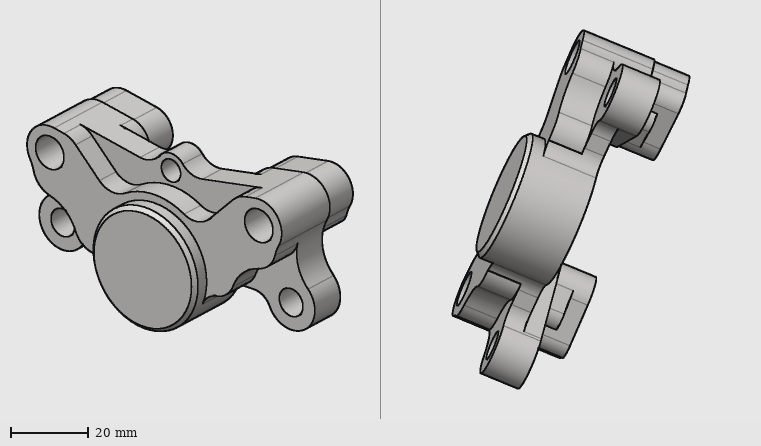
import cadquery as cq
import math


HUB_CENTER = (0, 0)
HUB_R = 17.5
HUB_FRONT_Y = -4.8
HUB_CHAMFER = 1.2

PLATE_FRONT_Y = 0
UPPER_RECESS_Y = 6.9
LUG_FRONT_Y = 9.4
PLATE_BACK_Y = 15.0
LEG_BACK_Y = 20.0
PAD_BACK_Y = 30.1

BOSS_CENTER = (-34.9, 21.4)
BOSS_R = 7.6
BOSS_HOLE_D = 6.4
BOSS_BORE_D = 9.5
LUG_R = 7.9
LUG_CENTER = (-(46 - LUG_R), -3.2)
LUG_HOLE_D = 7.9
TAB_R = 5.0
TAB_CENTER = (0, 24.2)
TAB_HOLE_D = 6.4

TOP_SLOPE = 10.0
TAB_BLEND_R = 6.9
SIDE_BLEND_R = 12.9
LOWER_BLEND_R = 5.6

RECESS_RIM_R = 19.9
RECESS_VALLEY_R = 7.1
RECESS_CORNER_R = 7.4
LUG_CLEARANCE_R = 12.7
LUG_FOOT_R = 7.1
CUT_MARGIN = 1.8

LEG_INNER_R = 7.1
LEG_INNER_X = -24.7
PAD_INSET = 0.5
PAD_CORNER_R = 4.3
PAD_CORNER_Z = 15.9
PAD_STEP_R = 4.3
PAD_STEP_CENTER = (-29.45, 15.1)
PAD_STEP_BACK_Y = 25.1


def polar(center, radius, degrees):
    angle = math.radians(degrees)
    return (center[0] + radius * math.cos(angle), center[1] + radius * math.sin(angle))


def toward(start, target, distance):
    """Point at a distance from start on the ray to target."""
    ratio = distance / math.dist(start, target)
    return (start[0] + ratio * (target[0] - start[0]), start[1] + ratio * (target[1] - start[1]))


def circle_meet(c1, r1, c2, r2):
    """Intersection of two circles lying left of the direction from c1 to c2."""
    gap = math.dist(c1, c2)
    along = (gap**2 + r1**2 - r2**2) / (2 * gap)
    across = math.sqrt(r1**2 - along**2)
    ux = (c2[0] - c1[0]) / gap
    uz = (c2[1] - c1[1]) / gap
    return (c1[0] + along * ux - across * uz, c1[1] + along * uz + across * ux)


def beside(center, reach, level):
    """Point at height level, right of center and at distance reach from it."""
    return (center[0] + math.sqrt(reach**2 - (level - center[1]) ** 2), level)


def arc_mid(start, end, center):
    """Middle of the shorter arc from start to end about center."""
    chord_mid = ((start[0] + end[0]) / 2, (start[1] + end[1]) / 2)
    return toward(center, chord_mid, math.dist(center, start))


def arc(sketch, start, end, center):
    return sketch.threePointArc(arc_mid(start, end, center), end)


def plane(y):
    return cq.Workplane("XZ", origin=(0, y, 0))


def prism(sketch, front, back):
    """Extrude a sketch drawn on the front level toward the back."""
    return sketch.close().extrude(front - back)


def cylinder(center, radius, front, back):
    return plane(front).center(*center).circle(radius).extrude(front - back)


def both_sides(solid):
    return solid.union(solid.mirror("YZ"))


def tangent_link(c1, r1, c2, r2, front, back):
    """Convex link: two circles joined by their outer tangents."""
    heading = math.degrees(math.atan2(c2[1] - c1[1], c2[0] - c1[0]))
    spread = math.degrees(math.acos((r1 - r2) / math.dist(c1, c2)))
    corners = [
        polar(c1, r1, heading + spread),
        polar(c2, r2, heading + spread),
        polar(c2, r2, heading - spread),
        polar(c1, r1, heading - spread),
    ]
    web = prism(plane(front).polyline(corners), front, back)
    return web.union(cylinder(c1, r1, front, back)).union(cylinder(c2, r2, front, back))


TOP_NORMAL = 90 - TOP_SLOPE
TOP_FALL = math.tan(math.radians(TOP_SLOPE))
top_start = polar(BOSS_CENTER, BOSS_R, TOP_NORMAL)


def top_edge_z(x, inset=0):
    """Height at x of the top edge, or of a parallel line inset below it."""
    drop = inset / math.cos(math.radians(TOP_SLOPE))
    return top_start[1] - (x - top_start[0]) * TOP_FALL - drop


def center_on_edge_offset(center, reach, edge_offset):
    """Point at distance reach left of center, edge_offset above the top edge."""
    base = (center[0], top_edge_z(center[0], -edge_offset))
    height = (base[1] - center[1]) * math.cos(math.radians(TOP_SLOPE))
    foot = polar(center, height, TOP_NORMAL)
    return polar(foot, math.sqrt(reach**2 - height**2), 180 - TOP_SLOPE)


side_blend = circle_meet(LUG_CENTER, LUG_R + SIDE_BLEND_R, BOSS_CENTER, BOSS_R + SIDE_BLEND_R)


def plate_half(front, back):
    tab_top = (0, TAB_CENTER[1] + TAB_R)
    tab_blend = center_on_edge_offset(TAB_CENTER, TAB_R + TAB_BLEND_R, TAB_BLEND_R)
    tab_end = toward(TAB_CENTER, tab_blend, TAB_R)
    top_end = polar(tab_blend, TAB_BLEND_R, TOP_NORMAL + 180)
    boss_end = toward(BOSS_CENTER, side_blend, BOSS_R)
    lug_start = toward(LUG_CENTER, side_blend, LUG_R)
    lug_bottom = (LUG_CENTER[0], LUG_CENTER[1] - LUG_R)

    blend_z = LUG_CENTER[1] - LOWER_BLEND_R
    lug_blend = beside(LUG_CENTER, LUG_R + LOWER_BLEND_R, blend_z)
    hub_blend = (-beside(HUB_CENTER, HUB_R + LOWER_BLEND_R, blend_z)[0], blend_z)
    lug_end = toward(LUG_CENTER, lug_blend, LUG_R)
    hub_start = toward(HUB_CENTER, hub_blend, HUB_R)
    lower_start = (lug_blend[0], LUG_CENTER[1])
    lower_end = (hub_blend[0], LUG_CENTER[1])

    sketch = plane(front).moveTo(*tab_top)
    sketch = arc(sketch, tab_top, tab_end, TAB_CENTER)
    sketch = arc(sketch, tab_end, top_end, tab_blend).lineTo(*top_start)
    sketch = arc(sketch, top_start, boss_end, BOSS_CENTER)
    sketch = arc(sketch, boss_end, lug_start, side_blend)
    sketch = arc(sketch, lug_start, lug_bottom, LUG_CENTER)
    sketch = arc(sketch, lug_bottom, lug_end, LUG_CENTER)
    sketch = arc(sketch, lug_end, lower_start, lug_blend).lineTo(*lower_end)
    sketch = arc(sketch, lower_end, hub_start, hub_blend)
    sketch = arc(sketch, hub_start, (0, -HUB_R), HUB_CENTER)
    return prism(sketch, front, back)


def upper_recess_half():
    """Recess above the hub; its 45-degree wall points at the hub axis."""
    valley_along = math.sqrt((RECESS_RIM_R + RECESS_VALLEY_R) ** 2 - RECESS_VALLEY_R**2)
    wall_end = polar(HUB_CENTER, valley_along, 135)
    valley = polar(wall_end, RECESS_VALLEY_R, 45)
    rim_end = toward(HUB_CENTER, valley, RECESS_RIM_R)

    edge_at_axis = top_edge_z(0, RECESS_CORNER_R)
    corner_x = -(edge_at_axis + RECESS_CORNER_R * math.sqrt(2)) / (1 - TOP_FALL)
    corner = (corner_x, top_edge_z(corner_x, RECESS_CORNER_R))
    wall_start = polar(corner, RECESS_CORNER_R, 45)
    corner_start = polar(corner, RECESS_CORNER_R, TOP_NORMAL)
    clear_z = TAB_CENTER[1] + TAB_R + CUT_MARGIN

    sketch = plane(PLATE_FRONT_Y).moveTo(0, RECESS_RIM_R)
    sketch = arc(sketch, (0, RECESS_RIM_R), rim_end, HUB_CENTER)
    sketch = arc(sketch, rim_end, wall_end, valley).lineTo(*wall_start)
    sketch = arc(sketch, wall_start, corner_start, corner)
    sketch = sketch.lineTo(corner_start[0], clear_z).lineTo(0, clear_z)
    return prism(sketch, PLATE_FRONT_Y, UPPER_RECESS_Y)


def lug_recess():
    """Clearance in front of the lug, concentric with its hole."""
    corner = circle_meet(
        side_blend, SIDE_BLEND_R + RECESS_CORNER_R, LUG_CENTER, LUG_CLEARANCE_R + RECESS_CORNER_R
    )
    side_start = toward(side_blend, corner, SIDE_BLEND_R)
    clearance_start = toward(LUG_CENTER, corner, LUG_CLEARANCE_R)
    foot = beside(LUG_CENTER, LUG_CLEARANCE_R + LUG_FOOT_R, LUG_CENTER[1] + LUG_FOOT_R)
    clearance_end = toward(LUG_CENTER, foot, LUG_CLEARANCE_R)
    foot_end = (foot[0], LUG_CENTER[1])
    clear_x = LUG_CENTER[0] - LUG_R - CUT_MARGIN
    clear_z = LUG_CENTER[1] - LUG_R - CUT_MARGIN

    sketch = plane(PLATE_FRONT_Y).moveTo(*side_start)
    sketch = arc(sketch, side_start, clearance_start, corner)
    sketch = arc(sketch, clearance_start, clearance_end, LUG_CENTER)
    sketch = arc(sketch, clearance_end, foot_end, foot)
    sketch = sketch.lineTo(foot_end[0], clear_z).lineTo(clear_x, clear_z).lineTo(clear_x, side_start[1])
    return prism(sketch, PLATE_FRONT_Y, LUG_FRONT_Y)


leg_inner = (LEG_INNER_X, top_edge_z(LEG_INNER_X, LEG_INNER_R))


def rear_leg():
    """Thickened arm behind the plate, from the boss down to the lug."""
    levels = (PLATE_BACK_Y, LEG_BACK_Y)
    leg = tangent_link(BOSS_CENTER, BOSS_R, leg_inner, LEG_INNER_R, *levels)
    leg = leg.union(tangent_link(leg_inner, LEG_INNER_R, LUG_CENTER, LUG_R, *levels))
    leg = leg.union(tangent_link(BOSS_CENTER, BOSS_R, LUG_CENTER, LUG_R, *levels))
    return leg.intersect(plate_half(*levels))


def rear_pad():
    """Mounting pad on the back of the leg, inset from the leg outline."""
    levels = (LEG_BACK_Y, PAD_BACK_Y)
    boss = (BOSS_CENTER, BOSS_R - PAD_INSET)
    inner = (leg_inner, LEG_INNER_R - PAD_INSET)
    blend_r = SIDE_BLEND_R + PAD_INSET
    corner_center = beside(side_blend, blend_r + PAD_CORNER_R, PAD_CORNER_Z)
    corner = (corner_center, PAD_CORNER_R)
    pad = tangent_link(*boss, *inner, *levels).union(tangent_link(*inner, *corner, *levels))

    web = [
        BOSS_CENTER,
        toward(side_blend, BOSS_CENTER, blend_r),
        toward(side_blend, corner_center, blend_r),
        corner_center,
    ]
    pad = pad.union(prism(plane(LEG_BACK_Y).polyline(web), *levels))
    pad = pad.cut(cylinder(side_blend, blend_r, *levels))

    step = tangent_link(*inner, PAD_STEP_CENTER, PAD_STEP_R, LEG_BACK_Y, PAD_STEP_BACK_Y)
    return pad.union(step)


body = both_sides(plate_half(PLATE_FRONT_Y, PLATE_BACK_Y))
body = body.cut(both_sides(upper_recess_half()))
for recess in (lug_recess(), lug_recess().mirror("YZ")):
    body = body.cut(recess)

hub = cylinder(HUB_CENTER, HUB_R, HUB_FRONT_Y, PLATE_BACK_Y).faces("<Y").chamfer(HUB_CHAMFER)
body = body.union(hub)

arm = rear_leg().union(rear_pad())
body = body.union(arm).union(arm.mirror("YZ"))

holes = [
    (TAB_CENTER, TAB_HOLE_D, PLATE_BACK_Y),
    (LUG_CENTER, LUG_HOLE_D, LEG_BACK_Y),
    (BOSS_CENTER, BOSS_HOLE_D, PAD_BACK_Y),
    (BOSS_CENTER, BOSS_BORE_D, LEG_BACK_Y),
]
for center, diameter, back in holes:
    for side in (1, -1):
        hole_center = (side * center[0], center[1])
        body = body.cut(cylinder(hole_center, diameter / 2, PLATE_FRONT_Y, back))

result = body